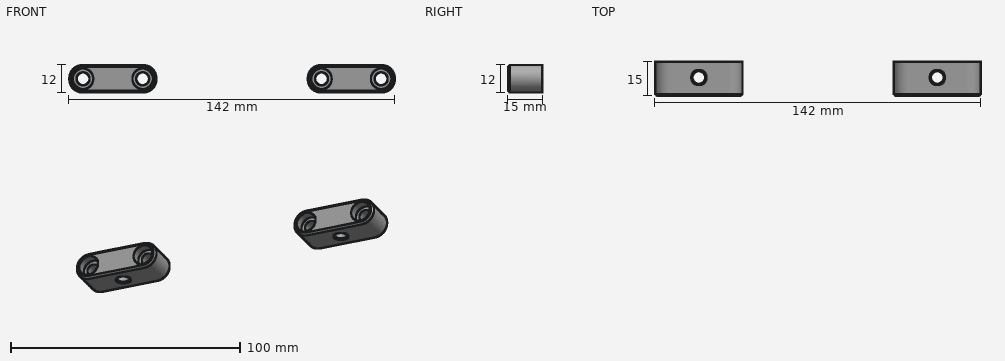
import cadquery as cq

overall_length = 142.0
block_depth = 15.0
block_height = 12.0
hole_pitch = 26.0
front_chamfer = 1.0

screw_hole_diameter = 5.5
counterbore_diameter = 9.0
counterbore_depth = 5.0

cross_hole_diameter = 5.5
cross_hole_mouth_diameter = 6.7
cross_hole_from_back = 7.0

block_length = hole_pitch + block_height
block_spacing = overall_length - block_length
countersink_depth = (cross_hole_mouth_diameter - cross_hole_diameter) / 2
front_y = -block_depth / 2
back_y = block_depth / 2
cross_hole_y = back_y - cross_hole_from_back


def make_body():
    """Round-ended bar along X with a chamfered front rim."""
    bar = (
        cq.Workplane("XZ", origin=(0, back_y, 0))
        .slot2D(block_length, block_height)
        .extrude(block_depth)
    )
    return bar.faces("<Y").chamfer(front_chamfer)


def make_screw_hole(x):
    """Through hole along Y with a counterbore opening at the front."""
    front = cq.Workplane("XZ", origin=(x, front_y, 0))
    hole = front.circle(screw_hole_diameter / 2).extrude(-block_depth)
    counterbore = front.circle(counterbore_diameter / 2).extrude(-counterbore_depth)
    return hole.union(counterbore)


def make_cross_hole():
    """Vertical through hole, revolved together with its two 45 degree countersinks."""
    hole_radius = cross_hole_diameter / 2
    mouth_radius = cross_hole_mouth_diameter / 2
    half_height = block_height / 2
    profile = [
        (0, -half_height),
        (mouth_radius, -half_height),
        (hole_radius, -half_height + countersink_depth),
        (hole_radius, half_height - countersink_depth),
        (mouth_radius, half_height),
        (0, half_height),
    ]
    return (
        cq.Workplane("XZ", origin=(0, cross_hole_y, 0))
        .polyline(profile)
        .close()
        .revolve(360, (0, 0, 0), (0, 1, 0))
    )


def make_block(x):
    """One complete mounting block centred at the given X position."""
    block = make_body().cut(make_cross_hole())
    for side in (-1, 1):
        block = block.cut(make_screw_hole(side * hole_pitch / 2))
    return block.translate((x, 0, 0))


blocks = []
for side in (-1, 1):
    blocks.append(make_block(side * block_spacing / 2).val())

result = cq.Compound.makeCompound(blocks)